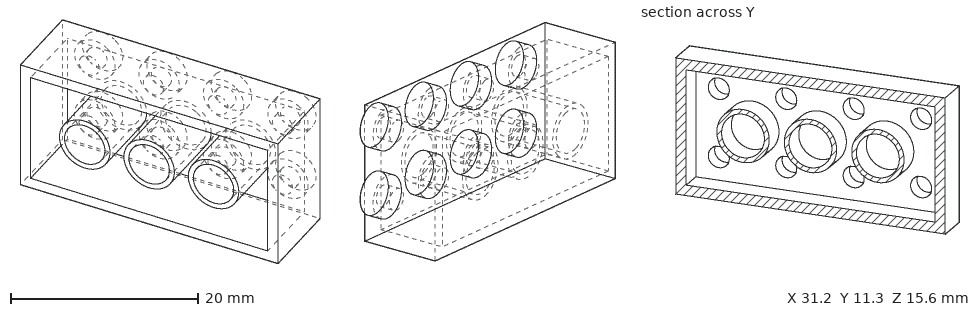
import cadquery as cq

pitch = 7.8
columns = 4
rows = 2
total_depth = 11.33
stud_height = 1.78
stud_diameter = 4.9
wall = 1.25
roof = 1.25
tube_outer_diameter = 6.1
tube_bore_diameter = 4.9
pin_hole_diameter = 2.43
pin_hole_depth = 1.78

length = columns * pitch
height = rows * pitch
body_depth = total_depth - stud_height
cavity_depth = body_depth - roof


def centred_grid(across, up):
    """Centres of a pitch-spaced grid, as (x, z) pairs."""
    return [
        ((i - (across - 1) / 2) * pitch, (k - (up - 1) / 2) * pitch)
        for i in range(across)
        for k in range(up)
    ]


def block(size_x, size_z, depth):
    """Rectangular block running from the rim plane toward +Y."""
    return cq.Workplane("XZ").rect(size_x, size_z).extrude(-depth)


def cylinders(centres, diameter, start, depth):
    """Cylinders running toward +Y from Y = start."""
    plane = cq.Workplane("XZ", origin=(0, start, 0))
    return plane.pushPoints(centres).circle(diameter / 2).extrude(-depth)


stud_centres = centred_grid(columns, rows)
tube_centres = centred_grid(columns - 1, rows - 1)

shell = block(length, height, body_depth).cut(
    block(length - 2 * wall, height - 2 * wall, cavity_depth)
)

studs = cylinders(stud_centres, stud_diameter, body_depth, stud_height)

tubes = cylinders(tube_centres, tube_outer_diameter, 0, cavity_depth)
tube_bores = cylinders(tube_centres, tube_bore_diameter, 0, cavity_depth)

pin_holes = cylinders(stud_centres, pin_hole_diameter, cavity_depth, pin_hole_depth)

result = shell.union(studs).union(tubes).cut(tube_bores).cut(pin_holes)